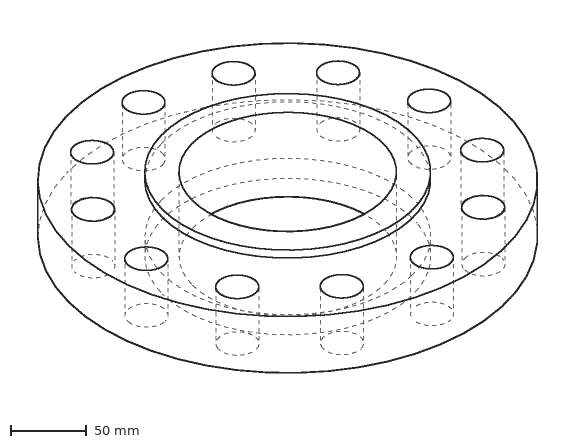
import cadquery as cq

flange_diameter = 330.2
flange_thickness = 44.5

collar_diameter = 189.0
raised_face_height = 6.3
total_height = 66.7
hub_height = total_height - flange_thickness - raised_face_height

bore_diameter = 143.5

bolt_count = 12
bolt_hole_diameter = 28.5
bolt_circle_diameter = 266.8
bolt_spacing_angle = 360 / bolt_count
first_bolt_angle = bolt_spacing_angle / 2


def cylinder(diameter, height, base_z):
    return cq.Workplane("XY").workplane(offset=base_z).circle(diameter / 2).extrude(height)


collar = cylinder(collar_diameter, total_height, 0)
disc = cylinder(flange_diameter, flange_thickness, hub_height)
bore = cylinder(bore_diameter, total_height, 0)

bolt_holes = (
    cq.Workplane("XY")
    .workplane(offset=hub_height)
    .polarArray(bolt_circle_diameter / 2, first_bolt_angle, 360, bolt_count)
    .circle(bolt_hole_diameter / 2)
    .extrude(flange_thickness)
)

result = disc.union(collar).cut(bore).cut(bolt_holes)